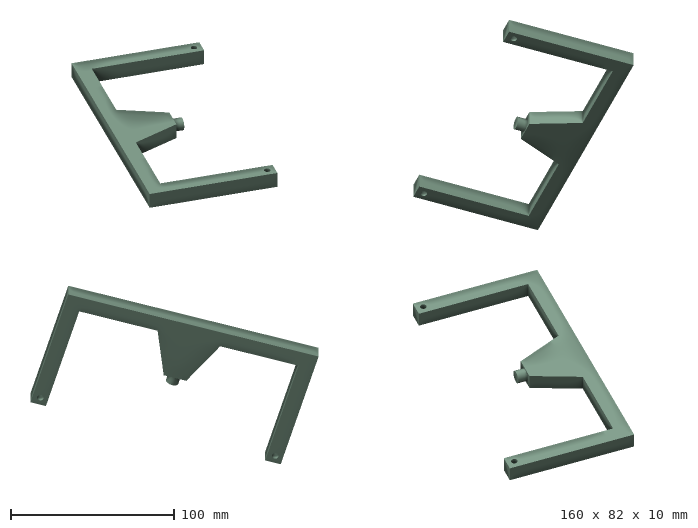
import cadquery as cq

width = 160.0
depth = 82.0
thickness = 10.0
bar = 10.0

block_base = 40.0
block_tip = 14.4
block_end = 40.0

pin_diameter = 8.0
pin_length = 6.0
hole_diameter = 4.0


def make_frame():
    """U-shaped frame: outer face of the bar at Y = 0, arms along +Y."""
    plate = cq.Workplane("XY").rect(width, depth).extrude(thickness)
    opening = (
        cq.Workplane("XY")
        .center(0, bar)
        .rect(width - 2 * bar, depth)
        .extrude(thickness)
    )
    return plate.cut(opening).translate((0, depth / 2, 0))


def make_block():
    """Trapezoidal block narrowing away from the bar."""
    return (
        cq.Workplane("XY")
        .moveTo(-block_base / 2, bar)
        .lineTo(block_base / 2, bar)
        .lineTo(block_tip / 2, block_end)
        .lineTo(-block_tip / 2, block_end)
        .close()
        .extrude(thickness)
    )


def make_pin():
    """Round pin along +Y, centred on the block's narrow face."""
    return (
        cq.Workplane("XZ", origin=(0, block_end, thickness / 2))
        .circle(pin_diameter / 2)
        .extrude(-pin_length)
    )


def make_arm_holes():
    """Vertical holes centred in the square ends of the arms."""
    hole_x = (width - bar) / 2
    hole_y = depth - bar / 2
    return (
        cq.Workplane("XY")
        .pushPoints([(-hole_x, hole_y), (hole_x, hole_y)])
        .circle(hole_diameter / 2)
        .extrude(thickness)
    )


result = make_frame().union(make_block()).union(make_pin()).cut(make_arm_holes())